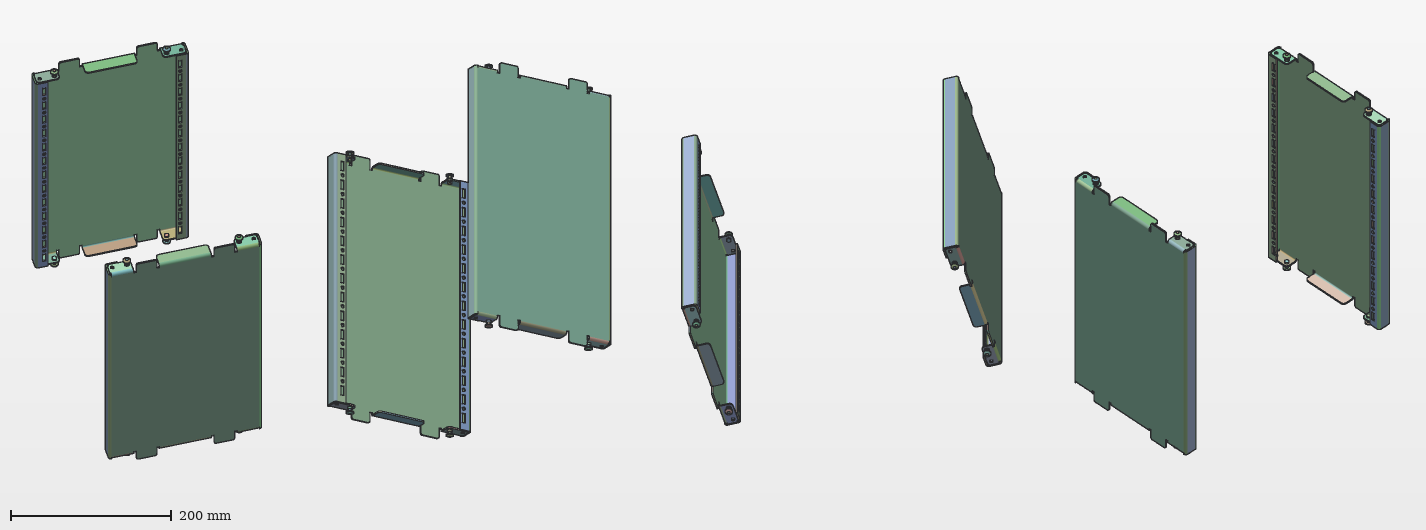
import cadquery as cq

total_width = 359.0
total_depth = 198.0
total_height = 354.7
half_depth = total_depth / 2

panel_height = 335.0
side_height = 334.0
half_height = panel_height / 2
sheet = 2.0
bend_radius = 3.5
side_width = 20.5
lip_length = 16.0
fold_gap = 0.5

ear_inner_y = 37.0
ear_outer_y = 63.5
slot_width = 3.2
slot_depth = 4.5
ear_corner_radius = 3.0
flange_corner_radius = 4.3
flange_reach = side_width - sheet - fold_gap

lip_hole_y = half_depth - 11.0
lip_pitch = 25.0
slot_hole_count = 13
slot_hole_width = 4.3
slot_hole_height = 12.2
round_hole_count = slot_hole_count - 1
round_hole_diameter = 4.3
flange_hole_diameter = 4.3
flange_hole_y = half_depth - 7.5

screw_x = 12.2
screw_y = 72.5
shank_diameter = 5.7
shank_length = 4.0
collar_diameter = 6.5
collar_height = 2.5
neck_diameter = 4.3
neck_height = 3.5
head_diameter = 9.7
head_rim_height = 1.5
head_cone_height = 1.5
head_top_diameter = 3.5


def folded_channel():
    """Web at X = 0 with a folded side and an inward lip along each Y edge."""
    def rounded_block(inset):
        width = side_width - 2 * inset
        depth = total_depth - 2 * inset
        block = cq.Workplane("XY").box(width, depth, side_height, centered=(False, True, True))
        return block.edges("|Z").fillet(bend_radius - inset).translate((inset, 0, 0))

    opening_depth = total_depth - 2 * lip_length
    opening = cq.Workplane("XY").box(side_width, opening_depth, side_height, centered=(False, True, True))
    tube = rounded_block(0).cut(rounded_block(sheet))
    return tube.cut(opening.translate((bend_radius, 0, 0)))


def edge_trim():
    """Upper edge of the web, cut back between the sides to make room for flanges and ears."""
    depth = 2 * (half_depth - bend_radius)
    trim = cq.Workplane("XY").box(bend_radius, depth, slot_depth, centered=(False, True, False))
    return trim.translate((0, 0, half_height - slot_depth))


def end_flange(start_y, end_y):
    """Flange bent inward from the upper edge of the web, between two Y places."""
    outline = (
        cq.Workplane("XZ", origin=(0, start_y, 0))
        .moveTo(0, half_height - slot_depth)
        .lineTo(0, half_height - bend_radius)
        .radiusArc((bend_radius, half_height), bend_radius)
        .lineTo(flange_reach, half_height)
        .lineTo(flange_reach, half_height - sheet)
        .lineTo(bend_radius, half_height - sheet)
        .radiusArc((sheet, half_height - bend_radius), sheet - bend_radius)
        .lineTo(sheet, half_height - slot_depth)
        .close()
    )
    return outline.extrude(start_y - end_y)


def corner_flange():
    """Flange near a panel corner, with a clearance hole and a hole for the screw."""
    bend_end_y = half_depth - bend_radius
    flange_end_y = half_depth - sheet - fold_gap
    flange = end_flange(ear_outer_y + slot_width, bend_end_y)
    widening = cq.Workplane("XY").box(
        flange_reach - bend_radius, flange_end_y - bend_end_y, sheet, centered=False
    )
    flange = flange.union(widening.translate((bend_radius, bend_end_y, half_height - sheet)))
    flange = flange.edges("|Z and >X").fillet(flange_corner_radius)
    for y, diameter in ((flange_hole_y, flange_hole_diameter), (screw_y, shank_diameter)):
        hole = cq.Workplane("XY").circle(diameter / 2).extrude(half_height)
        flange = flange.cut(hole.translate((screw_x, y, 0)))
    return flange


def middle_flange():
    """Flange between the two ears."""
    end_y = ear_inner_y - slot_width
    return end_flange(-end_y, end_y).edges("|Z and >X").fillet(flange_corner_radius)


def ear():
    """Flat ear standing up from the web."""
    width = ear_outer_y - ear_inner_y
    height = (total_height - panel_height) / 2 + slot_depth
    plate = cq.Workplane("XY").box(sheet, width, height, centered=(False, True, False))
    plate = plate.edges("|X and >Z").fillet(ear_corner_radius)
    return plate.translate((0, (ear_inner_y + ear_outer_y) / 2, half_height - slot_depth))


def lip_holes():
    """Cutter for the upright rectangular holes of one lip and the round holes between them."""
    def centers(count):
        plane = cq.Workplane("YZ", origin=(bend_radius, lip_hole_y, 0))
        return plane.rarray(3.5, lip_pitch, 1, count)

    slots = centers(slot_hole_count).rect(slot_hole_width, slot_hole_height).extrude(side_width)
    rounds = centers(round_hole_count).circle(round_hole_diameter / 2).extrude(side_width)
    return slots.union(rounds)


def make_panel():
    """Panel with its web at X = 0 and its folded sides toward +X."""
    trim = edge_trim()
    panel = folded_channel().cut(trim).cut(trim.mirror("XY"))
    for part in (middle_flange(), corner_flange(), corner_flange().mirror("XZ"), ear(), ear().mirror("XZ")):
        panel = panel.union(part).union(part.mirror("XY"))
    holes = lip_holes()
    return panel.cut(holes).cut(holes.mirror("XZ"))


def make_screw():
    """Screw in the upper flange: shank through the sheet, collar, neck and cone-topped head."""
    shank_bottom = half_height - shank_length
    collar_top = half_height + collar_height
    head_bottom = collar_top + neck_height
    rim_top = head_bottom + head_rim_height
    head_top = rim_top + head_cone_height
    half_outline = (
        cq.Workplane("XZ")
        .moveTo(0, shank_bottom)
        .lineTo(shank_diameter / 2, shank_bottom)
        .lineTo(shank_diameter / 2, half_height)
        .lineTo(collar_diameter / 2, half_height)
        .lineTo(collar_diameter / 2, collar_top)
        .lineTo(neck_diameter / 2, collar_top)
        .lineTo(neck_diameter / 2, head_bottom)
        .lineTo(head_diameter / 2, head_bottom)
        .lineTo(head_diameter / 2, rim_top)
        .lineTo(head_top_diameter / 2, head_top)
        .lineTo(0, head_top)
        .close()
    )
    return half_outline.revolve(360, (0, 0, 0), (0, 1, 0))


left_panel = make_panel().translate((-total_width / 2, 0, 0))
panels = [left_panel.val(), left_panel.mirror("YZ").val()]

upper_screw = make_screw()
lower_screw = upper_screw.mirror("XY")
screws = []
for x_sign in (-1, 1):
    for y_sign in (-1, 1):
        place = (x_sign * (total_width / 2 - screw_x), y_sign * screw_y, 0)
        for screw in (upper_screw, lower_screw):
            screws.append(screw.translate(place).val())

result = cq.Compound.makeCompound([*panels, *screws])